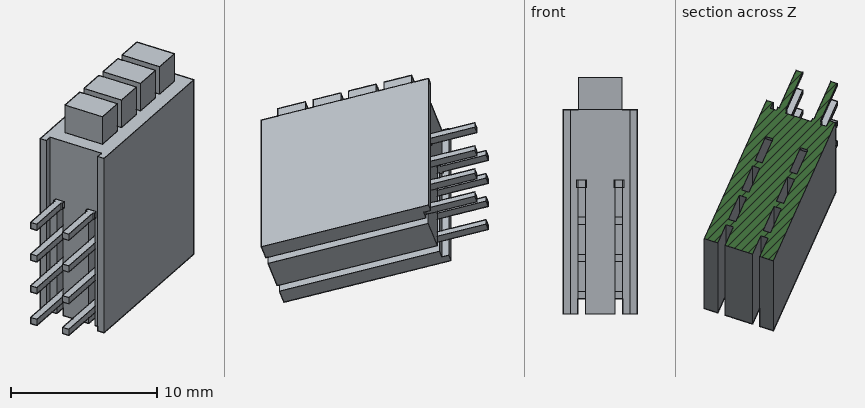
import cadquery as cq

pitch = 2.55
housing_width = 2 * pitch
housing_depth = 12.0
overall_height = 16.2
housing_height = 14.0
rim_thickness = 0.5
recess_depth = 0.5

light_count = 4
cap_width = 3.0
cap_depth = 2.0
cap_height = overall_height - housing_height
rear_cap_gap = 0.85
rear_cap_center = housing_depth - rear_cap_gap - cap_depth / 2
front_cap_center = rear_cap_center - (light_count - 1) * pitch

lead_size = 0.5
lead_reach = 3.0
lead_x = pitch / 2
lowest_lead_z = 1.3
highest_lead_z = lowest_lead_z + (light_count - 1) * pitch
slot_top = highest_lead_z + lead_size / 2

collar_width = 0.7
collar_reach = 0.25


def block(x_center, width, y_range, z_range):
    """Box centred on x_center that spans the given Y and Z ranges."""
    depth = y_range[1] - y_range[0]
    height = z_range[1] - z_range[0]
    corner = (x_center - width / 2, y_range[0], z_range[0])
    return cq.Workplane("XY").box(width, depth, height, centered=False).translate(corner)


def make_housing():
    """Plain block with a front recess between two rims and two lead slots open at the base."""
    full_height = (0, housing_height)
    housing = block(0, housing_width, (0, housing_depth), full_height)
    recess_width = housing_width - 2 * rim_thickness
    housing = housing.cut(block(0, recess_width, (0, recess_depth), full_height))
    for x in (-lead_x, lead_x):
        housing = housing.cut(block(x, lead_size, (0, housing_depth), (0, slot_top)))
    return housing


def make_cap(light):
    """Rectangular cap of one light, standing on the housing."""
    center = front_cap_center + light * pitch
    y_range = (center - cap_depth / 2, center + cap_depth / 2)
    return block(0, cap_width, y_range, (housing_height, housing_height + cap_height))


def make_lead(light, x):
    """L-shaped lead: straight back to its light, then up to the top of the slot."""
    center_y = front_cap_center + light * pitch
    center_z = highest_lead_z - light * pitch
    back = center_y + lead_size / 2
    bottom = center_z - lead_size / 2
    lead = block(x, lead_size, (-lead_reach, back), (bottom, bottom + lead_size))
    return lead.union(block(x, lead_size, (back - lead_size, back), (bottom, slot_top)))


def make_collar(x):
    """Collar standing out from the recess floor around the highest lead at x."""
    y_range = (recess_depth - collar_reach, recess_depth)
    return block(x, collar_width, y_range, (slot_top - lead_size, slot_top))


result = make_housing()
for light in range(light_count):
    result = result.union(make_cap(light))
    for x in (-lead_x, lead_x):
        result = result.union(make_lead(light, x))
for x in (-lead_x, lead_x):
    result = result.union(make_collar(x))